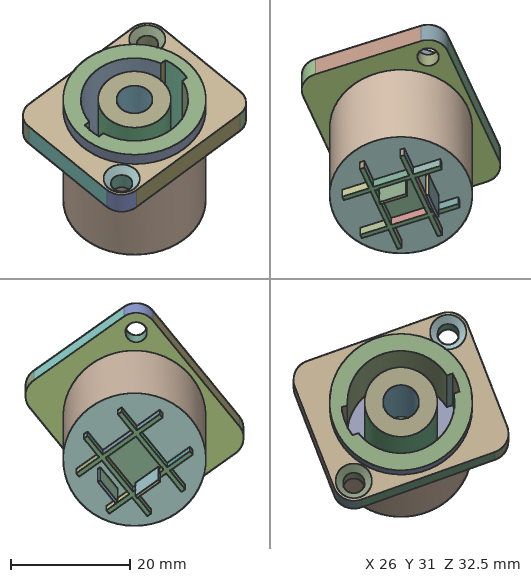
import cadquery as cq

total_height = 32.5
wall_bottom = 4.0
body_bottom = 6.0
flange_bottom = 25.5
flange_top = 30.0

flange_width = 26.0
flange_length = 31.0
corner_radius = 3.5
screw_x = 9.5
screw_y = 12.0
screw_diameter = 3.6
sink_diameter = 6.08
sink_angle = 90.0

body_diameter = 24.0
bore_diameter = 18.0
post_diameter = 12.22
post_hole_diameter = 6.0
socket_depth = 18.0
keyway_reach = 10.0
wide_keyway = 5.23
narrow_keyway = 3.4

wall_length = 17.6
wall_thickness = 0.78
x_wall_inner = 3.22
y_wall_inner = 3.8
terminal_width = 4.8
terminal_thickness = 0.5
left_terminal_x = -5.65
back_terminal_y = 3.67


def cylinder(diameter, bottom, top):
    return cq.Workplane("XY").workplane(offset=bottom).circle(diameter / 2).extrude(top - bottom)


def block(x_size, y_size, bottom, top, x=0, y=0):
    """Box centred on (x, y) between two heights."""
    return (
        cq.Workplane("XY")
        .workplane(offset=bottom)
        .center(x, y)
        .rect(x_size, y_size)
        .extrude(top - bottom)
    )


def make_flange():
    plate = block(flange_width, flange_length, flange_bottom, flange_top)
    return plate.edges("|Z").fillet(corner_radius)


def cut_screw_holes(part):
    return (
        part.faces(">Z")
        .workplane(origin=(0, 0, flange_top))
        .pushPoints([(-screw_x, screw_y), (screw_x, -screw_y)])
        .cskHole(screw_diameter, sink_diameter, sink_angle)
    )


def make_socket():
    """Space cut from the body: keyed ring around the post, and the hole in the post."""
    floor = total_height - socket_depth
    wide_slot = block(wide_keyway, keyway_reach, floor, total_height, y=keyway_reach / 2)
    narrow_slot = block(narrow_keyway, keyway_reach, floor, total_height, y=-keyway_reach / 2)
    keyways = wide_slot.union(narrow_slot).intersect(cylinder(2 * keyway_reach, floor, total_height))
    return (
        cylinder(bore_diameter, floor, total_height)
        .union(keyways)
        .cut(cylinder(post_diameter, floor, total_height))
        .union(cylinder(post_hole_diameter, floor, total_height))
    )


def add_rear_walls(part):
    """Two pairs of parallel walls crossing each other."""
    x_place = x_wall_inner + wall_thickness / 2
    y_place = y_wall_inner + wall_thickness / 2
    for side in (-1, 1):
        along_y = block(wall_thickness, wall_length, wall_bottom, body_bottom, x=side * x_place)
        along_x = block(wall_length, wall_thickness, wall_bottom, body_bottom, y=side * y_place)
        part = part.union(along_y).union(along_x)
    return part


def add_terminals(part):
    left = block(terminal_thickness, terminal_width, 0, body_bottom, x=left_terminal_x)
    back = block(terminal_width, terminal_thickness, 0, body_bottom, y=back_terminal_y)
    return part.union(left).union(back)


flange = cut_screw_holes(make_flange())
body = cylinder(body_diameter, body_bottom, total_height)
result = body.union(flange).cut(make_socket())
result = add_terminals(add_rear_walls(result))